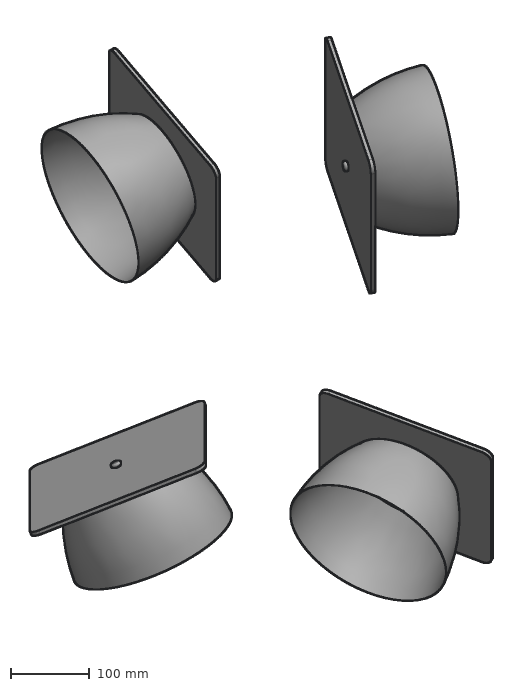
import cadquery as cq

plate_side = 241.3
plate_thickness = 6.0
corner_radius = 13.0

horn_depth = 111.7
horn_base_radius = 74.3
horn_rim_radius = 109.5
horn_bulge = 7.5
wall = 0.2

button_radius = 7.0
button_height = 6.0
button_flat_radius = button_radius - button_height / 2


def horn_solid(base_radius, rim_radius):
    """Revolve the area under one horn arc about the Y axis."""
    return (
        cq.Workplane("XY")
        .lineTo(base_radius, 0)
        .sagittaArc((rim_radius, -horn_depth), horn_bulge)
        .lineTo(0, -horn_depth)
        .close()
        .revolve(360, (0, 0, 0), (0, 1, 0))
    )


def make_housing():
    """Plate and hollow horn in one piece; the plate closes the narrow end."""
    plate = (
        cq.Workplane("XZ")
        .rect(plate_side, plate_side)
        .extrude(-plate_thickness)
        .edges("|Y")
        .fillet(corner_radius)
    )
    outside = horn_solid(horn_base_radius, horn_rim_radius)
    inside = horn_solid(horn_base_radius - wall, horn_rim_radius - wall)
    return plate.union(outside.cut(inside))


def make_button():
    """Disc with a fully rounded edge, resting on the back face of the plate."""
    return (
        cq.Workplane("XY", origin=(0, plate_thickness, 0))
        .lineTo(button_flat_radius, 0)
        .threePointArc((button_radius, button_height / 2), (button_flat_radius, button_height))
        .lineTo(0, button_height)
        .close()
        .revolve(360, (0, 0, 0), (0, 1, 0))
    )


housing = make_housing()
button = make_button()

result = cq.Compound.makeCompound([housing.val(), button.val()])